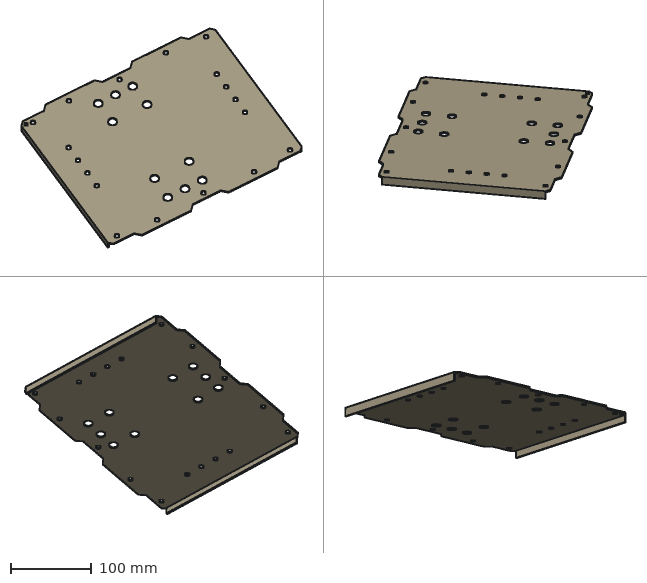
import cadquery as cq

length = 280.0
width = 230.0
height = 11.0
sheet = 2.0

tab_depth = 7.0
tab_inner_y = 27.2
tab_outer_y = 97.7
corner_chamfer = 5.0

half_length = length / 2
half_width = width / 2
half_body = half_width - tab_depth
half_flange = half_body - corner_chamfer

small_diameter = 6.0
large_diameter = 11.0
pilot_diameter = 4.5
corner_hole_x = 100.0
corner_hole_y = 125.0
tab_hole_x = 105.0
tab_hole_y = 70.0
row_pitch = 22.5
row_y = 107.0
pilot_position = (-102.0, -133.8)

large_pitch = 25.0
inner_group_x = 50.0
inner_group_y = -15.5
outer_group_x = 83.0
outer_group_y = -16.2


def make_panel():
    """Flat panel with chamfered corners and two sloped-ended tabs per side."""
    quarter = [
        (half_body, tab_inner_y - tab_depth),
        (half_width, tab_inner_y),
        (half_width, tab_outer_y),
        (half_body, tab_outer_y + tab_depth),
        (half_body, half_length - corner_chamfer),
        (half_flange, half_length),
    ]
    right_side = [(x, -y) for x, y in reversed(quarter)] + quarter
    left_side = [(-x, y) for x, y in reversed(right_side)]
    outline = right_side + left_side
    return cq.Workplane("XY").polyline(outline).close().extrude(-sheet)


def make_flange(side):
    """Downturned flange along the end at Y = side * half_length."""
    center_y = side * (half_length - sheet / 2)
    return (
        cq.Workplane("XY")
        .center(0, center_y)
        .rect(2 * half_flange, sheet)
        .extrude(-height)
    )


def drill(body, points, diameter):
    """Cut round holes through the panel."""
    cutters = cq.Workplane("XY").pushPoints(points).circle(diameter / 2).extrude(-sheet)
    return body.cut(cutters)


small_points = [(row_pitch * i, side * row_y) for i in range(-2, 2) for side in (-1, 1)]
large_points = []
for side_x in (-1, 1):
    small_points.append((side_x * corner_hole_x, 0))
    for side_y in (-1, 1):
        small_points.append((side_x * corner_hole_x, side_y * corner_hole_y))
        small_points.append((side_x * tab_hole_x, side_y * tab_hole_y))
        large_points.append((side_x * inner_group_x, inner_group_y + side_y * large_pitch))
    for step in (-1, 0, 1):
        large_points.append((side_x * outer_group_x, outer_group_y + step * large_pitch))

panel = make_panel()
panel = drill(panel, small_points, small_diameter)
panel = drill(panel, large_points, large_diameter)
panel = drill(panel, [pilot_position], pilot_diameter)

result = panel.union(make_flange(-1)).union(make_flange(1))